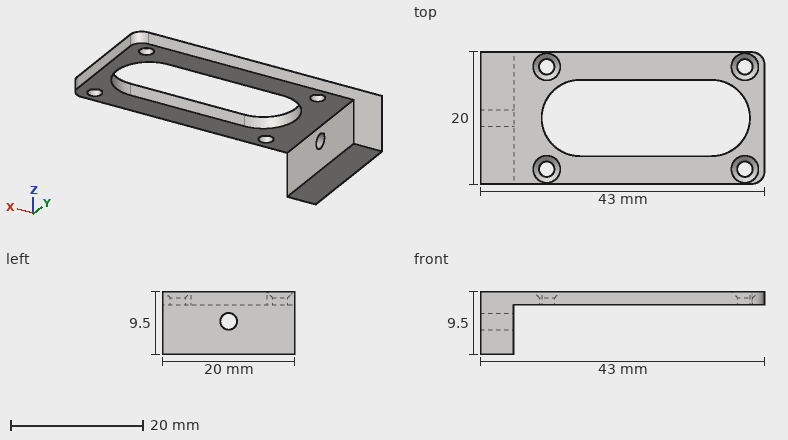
import cadquery as cq


length = 43.0
width = 20.0
plate_thickness = 2.0
corner_radius = 2.0

height = 9.5
leg_thickness = 5.0
leg_hole_diameter = 2.5
leg_hole_depth_below_top = 4.5

screw_pitch_x = 30.0
screw_pitch_y = 15.5
screw_hole_diameter = 2.3
countersink_diameter = 4.1
countersink_angle = 90.0
pattern_center_x = 25.0

window_length = 31.5
window_width = 11.5


def make_plate():
    """Flat plate with its two +X corners rounded."""
    plate_bottom = height - plate_thickness
    plate = cq.Workplane("XY", origin=(0, 0, plate_bottom)).box(
        length, width, plate_thickness, centered=(False, True, False)
    )
    return plate.edges("|Z and >X").fillet(corner_radius)


def make_leg():
    """Full-height block across the -X end."""
    return cq.Workplane("XY").box(leg_thickness, width, height, centered=(False, True, False))


def pattern_plane(body):
    """Workplane on the top face, at the centre of the screw pattern."""
    return body.faces(">Z").workplane(origin=(pattern_center_x, 0, height))


def cut_window(body):
    return pattern_plane(body).slot2D(window_length, window_width).cutThruAll()


def cut_screw_holes(body):
    centers = pattern_plane(body).rarray(screw_pitch_x, screw_pitch_y, 2, 2)
    return centers.cskHole(screw_hole_diameter, countersink_diameter, countersink_angle)


def cut_leg_hole(body):
    """Plain hole along X, through the leg only."""
    hole_z = height - leg_hole_depth_below_top
    leg_face = body.faces("<X").workplane(origin=(0, 0, hole_z))
    return leg_face.hole(leg_hole_diameter, leg_thickness)


result = make_plate().union(make_leg())
result = cut_window(result)
result = cut_screw_holes(result)
result = cut_leg_hole(result)